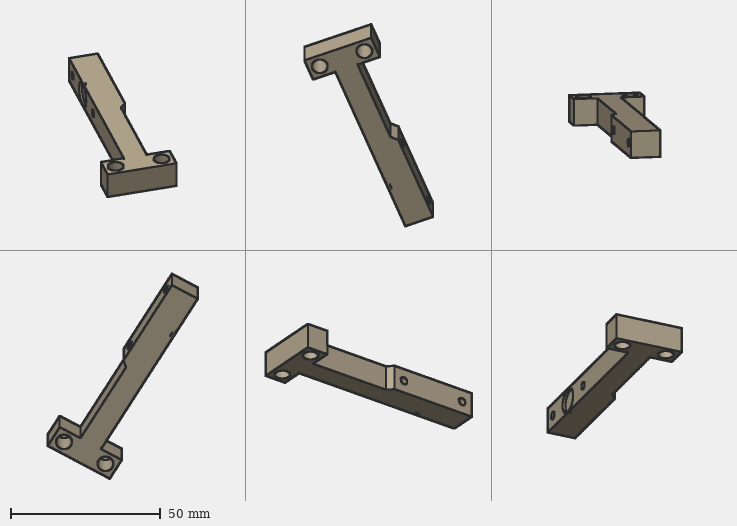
import cadquery as cq

length = 72.0
head_width = 24.0
height = 9.0

head_length = 8.0
head_hole_diameter = 5.25

arm_offset = 8.0
arm_thickness = 10.0
step_depth = 2.0
step_start = 32.0

pin_hole_diameter = 2.6
first_pin_hole_x = 4.0
pin_hole_spacing = 24.0
pocket_diameter = 8.4
pocket_x = 16.0
pocket_depth = 1.0

head_start = length - head_length
arm_back = arm_offset + arm_thickness
thin_arm_back = arm_back - step_depth


def make_body():
    """Extrude the T-shaped outline, with its -X end at the YZ plane."""
    outline = [
        (0, arm_offset),
        (head_start, arm_offset),
        (head_start, 0),
        (length, 0),
        (length, head_width),
        (head_start, head_width),
        (head_start, thin_arm_back),
        (step_start + step_depth, thin_arm_back),
        (step_start, arm_back),
        (0, arm_back),
    ]
    return cq.Workplane("XY").polyline(outline).close().extrude(height)


def make_head_holes():
    """Vertical through holes, one centred in each square end of the head."""
    edge_distance = head_length / 2
    x = length - edge_distance
    centres = [(x, edge_distance), (x, head_width - edge_distance)]
    return cq.Workplane("XY").pushPoints(centres).circle(head_hole_diameter / 2).extrude(height)


def make_side_bores(x_positions, diameter, depth):
    """Bores entering the -Y face of the arm at mid height."""
    centres = [(x, height / 2) for x in x_positions]
    arm_face = cq.Workplane("XZ", origin=(0, arm_offset, 0))
    return arm_face.pushPoints(centres).circle(diameter / 2).extrude(-depth)


pin_hole_positions = [first_pin_hole_x, first_pin_hole_x + pin_hole_spacing]

result = (
    make_body()
    .cut(make_head_holes())
    .cut(make_side_bores(pin_hole_positions, pin_hole_diameter, arm_thickness))
    .cut(make_side_bores([pocket_x], pocket_diameter, pocket_depth))
)